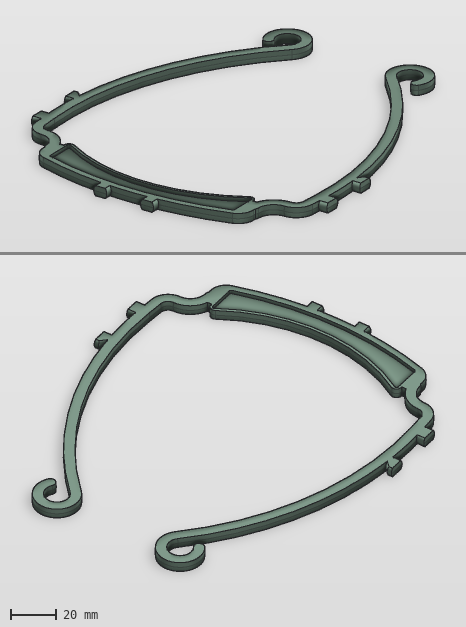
import cadquery as cq
import math


thickness = 5.0
half_thickness = thickness / 2
overall_width = 158.7
overall_length = 184.5
top_y = overall_length / 2
bottom_y = -overall_length / 2
draft_angle = 4.0

band_width = 5.4
hook_outer_radius = 11.0
hook_x = -32.8
hook_tip_angle = 215.0
hook_exit_angle = -45.4
arm_radius = 154.0
side_lean = 4.0
side_length = 8.1
shoulder_radius = 6.6
neck_radius = 10.7

base_half_width = 56.6
base_bottom_y = -89.0
base_bottom_radius = 173.5
base_top_y = -76.0
base_top_radius = 89.0
base_corner_radius = 8.3
lobe_half_width = 51.0
lobe_radius = 2.8
notch_y = -65.3
pocket_depth = 1.8
pocket_half_width = 49.5
pocket_bottom_rim = 3.3
pocket_top_rim = 1.7
pocket_corner_radius = 1.0

tab_bulge = 1.0
side_tab_width = 8.3
side_tab_centers_y = (-20.0, -45.2)
side_tab_root_x = -72.0
base_tab_width = 7.0
base_tab_center_x = 12.5
base_tab_root_y = -86.7
slope_x = -77.0
slope_angle = 45.0
slope_bar_size = 22.1


def polar(center, radius, angle):
    """Point at the given radius and angle (degrees) from a center."""
    turn = math.radians(angle)
    return (center[0] + radius * math.cos(turn), center[1] + radius * math.sin(turn))


def arc_y(center_y, radius, x):
    """Y of the lower half of a circle centered on X = 0."""
    return center_y - math.sqrt(radius**2 - x**2)


def mirror_to_right(body):
    return body.union(body.mirror("YZ"))


def drafted(outline):
    """Extrude both ways from the mid-plane, narrowing towards the faces."""
    upper = outline.extrude(half_thickness, taper=draft_angle)
    return upper.union(upper.mirror("XY"))


def make_band():
    """Left band: hook, long arm, straight side, shoulder and neck."""
    hook_radius = hook_outer_radius - band_width / 2
    hook_center = (hook_x, top_y - hook_outer_radius)
    arm_center = polar(hook_center, hook_radius + arm_radius, hook_exit_angle)
    arm_start_angle = hook_exit_angle + 180
    arm_end_angle = 180 + side_lean
    arm_middle_angle = (arm_start_angle + arm_end_angle) / 2
    hook_middle_angle = (hook_tip_angle + hook_exit_angle) / 2
    side_start = polar(arm_center, arm_radius, arm_end_angle)
    side_end = polar(side_start, side_length, arm_end_angle + 90)
    shoulder_center = polar(side_end, shoulder_radius, side_lean)
    neck_center = polar(shoulder_center, shoulder_radius + neck_radius, 270)
    centerline = (
        cq.Workplane("XY")
        .moveTo(*polar(hook_center, hook_radius, hook_tip_angle))
        .threePointArc(
            polar(hook_center, hook_radius, hook_middle_angle),
            polar(hook_center, hook_radius, hook_exit_angle),
        )
        .threePointArc(
            polar(arm_center, arm_radius, arm_middle_angle),
            side_start,
        )
        .lineTo(*side_end)
        .threePointArc(
            polar(shoulder_center, shoulder_radius, 225),
            polar(shoulder_center, shoulder_radius, 270),
        )
        .threePointArc(
            polar(neck_center, neck_radius, 45),
            polar(neck_center, neck_radius, 0),
        )
    )
    return drafted(centerline.offset2D(band_width / 2))


def make_base():
    """Crescent base with rounded lower corners and a lobe at each upper end."""
    bottom_center_y = base_bottom_y + base_bottom_radius
    top_center_y = base_top_y + base_top_radius
    corner_y = arc_y(bottom_center_y, base_bottom_radius, base_half_width)
    lobe_y = arc_y(top_center_y, base_top_radius, lobe_half_width)
    outline = (
        cq.Sketch()
        .arc((-base_half_width, corner_y), (0, base_bottom_y), (base_half_width, corner_y))
        .segment((base_half_width, notch_y))
        .segment((lobe_half_width, notch_y))
        .segment((lobe_half_width, lobe_y))
        .arc((lobe_half_width, lobe_y), (0, base_top_y), (-lobe_half_width, lobe_y))
        .segment((-lobe_half_width, notch_y))
        .segment((-base_half_width, notch_y))
        .close()
        .assemble()
        .vertices("<Y")
        .fillet(base_corner_radius)
        .reset()
        .vertices(">Y")
        .fillet(lobe_radius)
    )
    return drafted(cq.Workplane("XY").placeSketch(outline))


def make_pocket():
    """Cutter for the pocket sunk into the upper face of the base."""
    bottom_radius = base_bottom_radius - pocket_bottom_rim
    top_radius = base_top_radius + pocket_top_rim
    bottom_center_y = base_bottom_y + base_bottom_radius
    top_center_y = base_top_y + base_top_radius
    corner_y = arc_y(bottom_center_y, bottom_radius, pocket_half_width)
    lobe_y = arc_y(top_center_y, top_radius, pocket_half_width)
    return (
        cq.Workplane("XY", origin=(0, 0, half_thickness - pocket_depth))
        .moveTo(-pocket_half_width, corner_y)
        .threePointArc((0, bottom_center_y - bottom_radius), (pocket_half_width, corner_y))
        .lineTo(pocket_half_width, lobe_y)
        .threePointArc((0, top_center_y - top_radius), (-pocket_half_width, lobe_y))
        .close()
        .extrude(pocket_depth)
        .edges("|Z")
        .fillet(pocket_corner_radius)
    )


def make_tab(width, length):
    """Left-pointing tab from X = 0: bulging sides and an end pointed at the mid-plane."""
    half_width = width / 2
    face_half_width = half_width - tab_bulge
    face_length = length - half_thickness * math.tan(math.radians(draft_angle))
    bar = (
        cq.Workplane("YZ")
        .moveTo(-face_half_width, -half_thickness)
        .lineTo(face_half_width, -half_thickness)
        .threePointArc((half_width, 0), (face_half_width, half_thickness))
        .lineTo(-face_half_width, half_thickness)
        .threePointArc((-half_width, 0), (-face_half_width, -half_thickness))
        .close()
        .extrude(-length)
    )
    end_profile = [
        (0, -half_thickness),
        (-face_length, -half_thickness),
        (-length, 0),
        (-face_length, half_thickness),
        (0, half_thickness),
    ]
    pointed_block = cq.Workplane("XZ").polyline(end_profile).close().extrude(half_width, both=True)
    return bar.intersect(pointed_block)


def make_side_tabs():
    """Left pair of tabs; the upper one slopes down to where it meets the arm."""
    length = overall_width / 2 + side_tab_root_x
    tab = make_tab(side_tab_width, length)
    upper_y, lower_y = side_tab_centers_y
    lower = tab.translate((side_tab_root_x, lower_y, 0))
    upper = tab.translate((side_tab_root_x, upper_y, 0))
    slope_start = (slope_x, upper_y + side_tab_width / 2)
    bar_center = polar(slope_start, slope_bar_size / 2, 270 - slope_angle)
    sloped_bar = (
        make_tab(slope_bar_size, slope_bar_size)
        .translate((slope_bar_size / 2, 0, 0))
        .rotate((0, 0, 0), (0, 0, 1), -slope_angle)
        .translate((*bar_center, 0))
    )
    return upper.intersect(sloped_bar).union(lower)


def make_base_tab():
    """Left tab below the base."""
    tab = make_tab(base_tab_width, base_tab_root_y - bottom_y)
    pointing_down = tab.rotate((0, 0, 0), (0, 0, 1), 90)
    return pointing_down.translate((-base_tab_center_x, base_tab_root_y, 0))


left_side = make_band().union(make_side_tabs()).union(make_base_tab())
result = mirror_to_right(left_side).union(make_base()).cut(make_pocket())